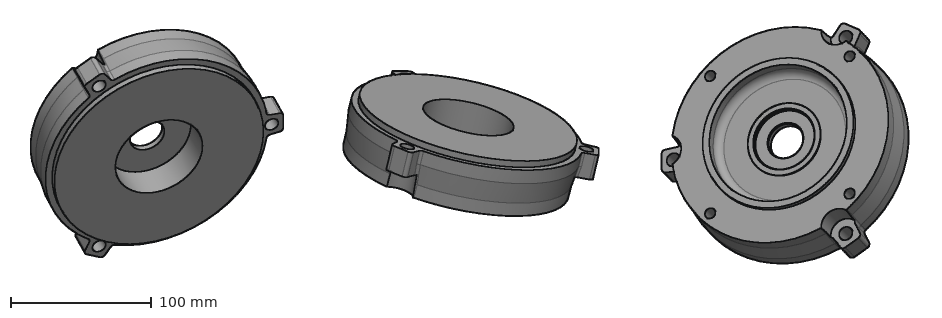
import cadquery as cq
import math


flange_x = 3.8
taper_start_x = 14.0
taper_end_x = 30.0
lug_front_x = 21.0
lug_rear_x = 40.2
rear_x = 45.0
overall_length = 180.2

pilot_radius = 57.1
front_rim_radius = 82.2
rim_radius = 84.1
spigot_radius = 79.1

pocket_radius = 52.0
pocket_fillet = 6.0
pocket_floor_x = 13.3

hub_radius = 27.5
hub_height = 1.0
hub_front_x = pocket_floor_x - hub_height
seat_radius = 22.7
seat_depth = 3.0
seat_floor_x = hub_front_x + seat_depth
bore_radius = 13.0
bore_length = 5.5
bore_rear_x = seat_floor_x + bore_length
rear_counterbore_radius = 33.0
edge_chamfer = 0.7

lug_angles = (0, 120, 240)
lug_hole_distance = 87.0
lug_hole_radius = 5.0
lug_tip_distance = overall_length - rim_radius
lug_root_distance = 75.7
lug_tip_half_width = 8.5
lug_flank_angle = 5.0
lug_flank_spread = (lug_tip_distance - lug_root_distance) * math.tan(math.radians(lug_flank_angle))
lug_root_half_width = lug_tip_half_width + lug_flank_spread
lug_corner_radius = 3.0
lug_root_fillet = 2.3

relief_front_radius = 12.3
relief_rear_radius = 11.4

screw_hole_offset = 52.8
screw_hole_radius = 4.0
screw_hole_depth = 14.5
drill_point_angle = 118


def revolve_about_x(points):
    """Turn a closed outline of (x, radius) points about the X axis."""
    return cq.Workplane("XY").polyline(points).close().revolve(360, (0, 0, 0), (1, 0, 0))


def make_body():
    return revolve_about_x([
        (0, 0),
        (0, pilot_radius),
        (flange_x, pilot_radius),
        (flange_x, front_rim_radius),
        (taper_start_x, front_rim_radius),
        (taper_end_x, rim_radius),
        (lug_rear_x, rim_radius),
        (lug_rear_x, spigot_radius),
        (rear_x, spigot_radius),
        (rear_x, 0),
    ])


def make_lug():
    """Lug on the +Y side at full flange depth, widening slightly towards the rim."""
    return (
        cq.Workplane("YZ", origin=(flange_x, 0, 0))
        .moveTo(lug_root_distance, -lug_root_half_width)
        .lineTo(lug_tip_distance, -lug_tip_half_width)
        .lineTo(lug_tip_distance, lug_tip_half_width)
        .lineTo(lug_root_distance, lug_root_half_width)
        .close()
        .extrude(lug_rear_x - flange_x)
        .edges("|X and >Y")
        .fillet(lug_corner_radius)
    )


def round_lug_roots(body):
    """Round the inner corners where the lug flanks meet the rim."""
    margin = 0.2
    root_edges = cq.selectors.BoxSelector(
        (flange_x + margin, lug_root_distance, -lug_root_half_width),
        (lug_rear_x - margin, rim_radius + margin, lug_root_half_width),
    )
    for angle in lug_angles:
        turned = body.rotate((0, 0, 0), (1, 0, 0), -angle)
        rounded = turned.edges(root_edges).fillet(lug_root_fillet)
        body = rounded.rotate((0, 0, 0), (1, 0, 0), angle)
    return body


def make_relief():
    """Tapered cut that clears the rim in front of the +Y lug."""
    return (
        cq.Workplane("YZ", origin=(flange_x, lug_hole_distance, 0))
        .circle(relief_front_radius)
        .workplane(offset=lug_front_x - flange_x)
        .circle(relief_rear_radius)
        .loft(ruled=True)
    )


def make_lug_hole():
    return (
        cq.Workplane("YZ", origin=(0, lug_hole_distance, 0))
        .circle(lug_hole_radius)
        .extrude(rear_x)
    )


def make_pocket():
    """Front pocket with a rounded floor corner, leaving the raised hub."""
    corner_offset = pocket_fillet * (1 - math.sqrt(0.5))
    return (
        cq.Workplane("XY")
        .moveTo(0, 0)
        .lineTo(0, pocket_radius)
        .lineTo(pocket_floor_x - pocket_fillet, pocket_radius)
        .threePointArc(
            (pocket_floor_x - corner_offset, pocket_radius - corner_offset),
            (pocket_floor_x, pocket_radius - pocket_fillet),
        )
        .lineTo(pocket_floor_x, hub_radius)
        .lineTo(hub_front_x, hub_radius)
        .lineTo(hub_front_x, 0)
        .close()
        .revolve(360, (0, 0, 0), (1, 0, 0))
    )


def make_shaft_bore():
    """Chamfered seat, chamfered shaft bore and the wider counterbore behind it."""
    return revolve_about_x([
        (hub_front_x, 0),
        (hub_front_x, seat_radius + edge_chamfer),
        (hub_front_x + edge_chamfer, seat_radius),
        (seat_floor_x, seat_radius),
        (seat_floor_x, bore_radius + edge_chamfer),
        (seat_floor_x + edge_chamfer, bore_radius),
        (bore_rear_x, bore_radius),
        (bore_rear_x, rear_counterbore_radius),
        (rear_x, rear_counterbore_radius),
        (rear_x, 0),
    ])


def make_screw_hole():
    """Drilled blind hole on the X axis, with a conical bottom."""
    hole_end_x = flange_x + screw_hole_depth
    point_length = screw_hole_radius / math.tan(math.radians(drill_point_angle / 2))
    return revolve_about_x([
        (flange_x, 0),
        (flange_x, screw_hole_radius),
        (hole_end_x, screw_hole_radius),
        (hole_end_x + point_length, 0),
    ])


def at_each_lug(shape):
    return [shape.rotate((0, 0, 0), (1, 0, 0), angle) for angle in lug_angles]


result = make_body()

for lug in at_each_lug(make_lug()):
    result = result.union(lug)

result = round_lug_roots(result)

for relief in at_each_lug(make_relief()):
    result = result.cut(relief)

for lug_hole in at_each_lug(make_lug_hole()):
    result = result.cut(lug_hole)

result = result.cut(make_pocket()).cut(make_shaft_bore())

for y in (-screw_hole_offset, screw_hole_offset):
    for z in (-screw_hole_offset, screw_hole_offset):
        result = result.cut(make_screw_hole().translate((0, y, z)))